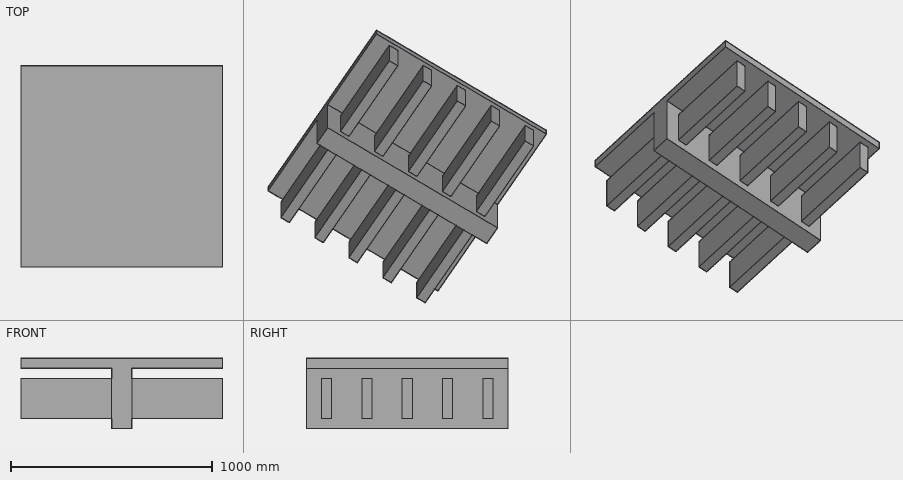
import cadquery as cq

side_length = 1000.0
plate_thickness = 50.0
web_width = 100.0
web_height = 300.0
fin_thickness = 50.0
fin_height = 200.0
fin_base_height = 50.0
fin_count = 5
fin_pitch = side_length / fin_count


def block(size_x, size_y, size_z, base_z, center_y=0.0):
    """Box centred on X = 0 and on center_y, standing on base_z."""
    return (
        cq.Workplane("XY")
        .box(size_x, size_y, size_z, centered=(True, True, False))
        .translate((0, center_y, base_z))
    )


def make_plate():
    """Square top plate resting on the web."""
    return block(side_length, side_length, plate_thickness, web_height)


def make_web():
    """Central web along Y, forming a T section with the plate."""
    return block(web_width, side_length, web_height, 0.0)


def make_fin(index):
    """Fin along X, crossing the web and clear of the plate."""
    center_y = (index - (fin_count - 1) / 2) * fin_pitch
    return block(side_length, fin_thickness, fin_height, fin_base_height, center_y)


result = make_plate().union(make_web())
for fin_index in range(fin_count):
    result = result.union(make_fin(fin_index))